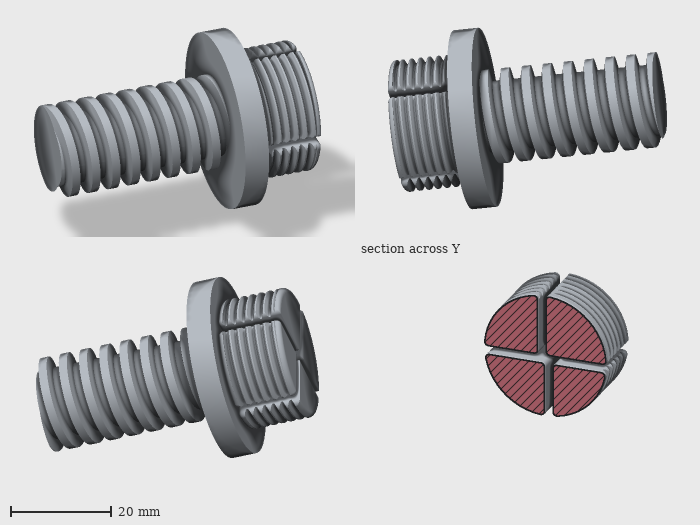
import cadquery as cq
import math

total_length = 53.0
flange_thickness = 5.0
head_length = 13.0
screw_length = total_length - flange_thickness - head_length
head_end = flange_thickness + head_length

flange_diameter = 35.9

screw_diameter = 18.9
screw_root_diameter = 14.2
screw_pitch = 4.25
screw_crest_width = 1.7
screw_root_width = 1.4
screw_crest_y = -3.15

head_diameter = 26.45
head_crest_diameter = 26.4
head_seven_turns = 12.7
head_pitch = head_seven_turns / 7
head_thread_depth = 1.15
head_flank_angle = math.radians(55 / 2)
head_crest_width = 0.3
head_crest_y = head_end - 1.5
slot_width = 1.5
edge_radius = 1.0

ridge_embed = 0.1
match_tolerance = 0.0005


def rod(diameter, y_start, length):
    """Cylinder on the Y axis from y_start towards +Y."""
    return cq.Workplane("XZ", origin=(0, y_start, 0)).circle(diameter / 2).extrude(-length)


def helical_ridge(profile, pitch, turns):
    """Right-handed ridge around +Z whose centre starts on the +X side at z = 0.

    The profile lists (radius, half width) at the foot and at the crest of the ridge.
    """
    lower_side = [(radius, -half_width) for radius, half_width in reversed(profile)]
    corners = profile + lower_side
    helices = [
        cq.Wire.makeHelix(pitch, turns * pitch, radius).translate(cq.Vector(0, 0, height))
        for radius, height in corners
    ]
    sides = [
        cq.Face.makeRuledSurface(helix, next_helix)
        for helix, next_helix in zip(helices, helices[1:] + helices[:1])
    ]
    start_cap = cq.Face.makeFromWires(cq.Workplane("XZ").polyline(corners).close().wires().val())
    end_cap = start_cap.translate(cq.Vector(0, 0, turns * pitch))
    shell = cq.Shell.makeShell(sides + [start_cap, end_cap])
    return cq.Workplane(cq.Solid.makeSolid(shell).fix())


def threaded_rod(root_diameter, crest_diameter, crest_width, flank_slope, pitch, crest_y, y_start, length):
    """Threaded rod on the Y axis, cut off square at both ends.

    A ridge grows wider by flank_slope per side for each unit below its crest, and crest_y is
    a height at which a crest's centre crosses the +X side.
    """
    foot_radius = root_diameter / 2 - ridge_embed
    crest_radius = crest_diameter / 2
    crest_half = crest_width / 2
    foot_half = crest_half + flank_slope * (crest_radius - foot_radius)
    profile = [(foot_radius, foot_half), (crest_radius, crest_half)]

    ridge_start = crest_y - pitch * math.ceil((crest_y - y_start) / pitch + 1)
    turns = math.ceil((y_start + length - ridge_start) / pitch + 1)
    ridge = (
        helical_ridge(profile, pitch, turns)
        .rotate((0, 0, 0), (1, 0, 0), -90)
        .translate((0, ridge_start, 0))
        .intersect(rod(2 * crest_diameter, y_start, length))
    )
    return rod(root_diameter, y_start, length).union(ridge)


def make_screw():
    """Screw with a trapezoidal thread that runs out at both of its ends."""
    thread_depth = (screw_diameter - screw_root_diameter) / 2
    flank_width = (screw_pitch - screw_crest_width - screw_root_width) / 2
    return threaded_rod(
        screw_root_diameter,
        screw_diameter,
        screw_crest_width,
        flank_width / thread_depth,
        screw_pitch,
        screw_crest_y,
        -screw_length,
        screw_length,
    )


def make_prong(x_side, z_side, x_inset, z_inset):
    """Quarter of the head with rounded edges; the insets are its distances from the axis planes."""
    reach = head_diameter
    quarter = (
        cq.Workplane("XY")
        .box(reach, reach, reach, centered=(True, False, True))
        .translate((x_side * (x_inset + reach / 2), flange_thickness, z_side * (z_inset + reach / 2)))
    )
    prong = rod(head_diameter, flange_thickness, head_length).intersect(quarter)

    def is_rounded(edge):
        center = edge.Center()
        at_end = abs(center.y - head_end) < match_tolerance
        on_axis_plane = min(abs(center.x), abs(center.z)) < match_tolerance
        return not (at_end and on_axis_plane)

    edges = [edge for edge in prong.edges().vals() if is_rounded(edge)]
    return prong.newObject(edges).fillet(edge_radius)


def make_head_groove():
    """Sleeve that fills the thread grooves of the head, between its two plain rims."""
    y_start = flange_thickness + edge_radius
    length = head_length - 2 * edge_radius
    thread = threaded_rod(
        head_crest_diameter - 2 * head_thread_depth,
        head_crest_diameter,
        head_crest_width,
        math.tan(head_flank_angle),
        head_pitch,
        head_crest_y,
        y_start,
        length,
    )
    return rod(flange_diameter, y_start, length).cut(thread)


prongs = [
    (1, 1, 0, 0),
    (-1, 1, slot_width, 0),
    (-1, -1, 0, slot_width),
    (1, -1, slot_width, slot_width),
]

result = rod(flange_diameter, 0, flange_thickness)
for prong in prongs:
    result = result.union(make_prong(*prong))
result = result.cut(make_head_groove(), clean=False)
result = result.union(make_screw(), clean=False)